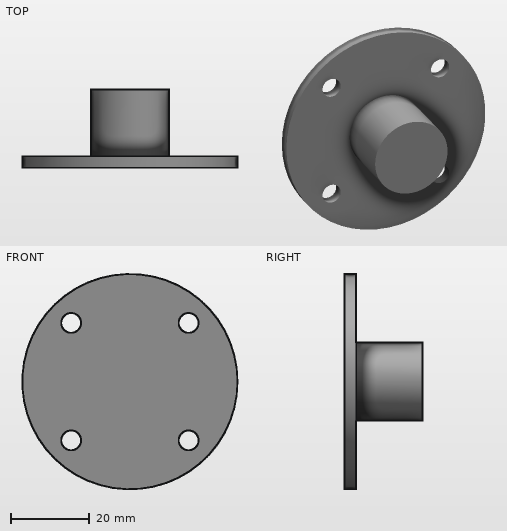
import cadquery as cq

flange_diameter = 55.0
flange_thickness = 3.0
hub_diameter = 20.0
total_depth = 20.0
hole_diameter = 5.0
hole_spacing = 30.0


def disc(diameter, depth):
    """Cylinder about the Y axis, from the front face at Y = 0 toward +Y."""
    return cq.Workplane("XZ").circle(diameter / 2).extrude(-depth)


def mounting_holes():
    """Four through-hole cutters at the corners of a square."""
    return (
        cq.Workplane("XZ")
        .rect(hole_spacing, hole_spacing, forConstruction=True)
        .vertices()
        .circle(hole_diameter / 2)
        .extrude(-flange_thickness)
    )


flange = disc(flange_diameter, flange_thickness).cut(mounting_holes())
hub = disc(hub_diameter, total_depth)

result = flange.union(hub)